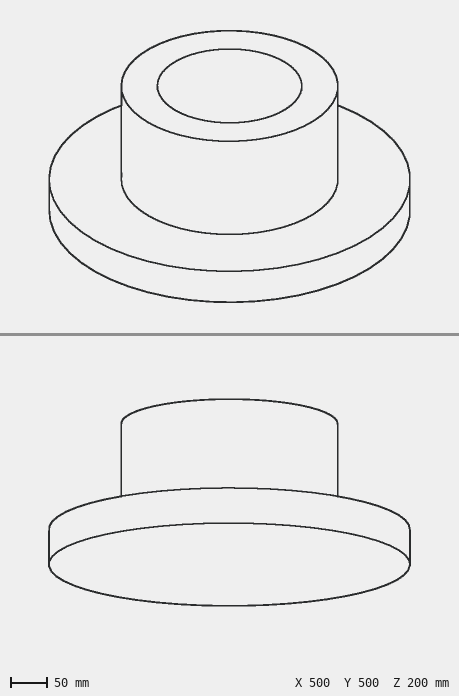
import cadquery as cq

flange_diameter = 500.0
flange_thickness = 50.0
hub_outer_diameter = 300.0
hub_wall = 50.0
overall_height = 200.0

hub_height = overall_height - flange_thickness
bore_diameter = hub_outer_diameter - 2 * hub_wall


def disc(diameter, height, base_z):
    """Solid cylinder on the Z axis, standing on the plane z = base_z."""
    return cq.Workplane("XY").workplane(offset=base_z).circle(diameter / 2).extrude(height)


flange = disc(flange_diameter, flange_thickness, 0)

hub = disc(hub_outer_diameter, hub_height, flange_thickness)
bore = disc(bore_diameter, hub_height, flange_thickness)

result = flange.union(hub).cut(bore)